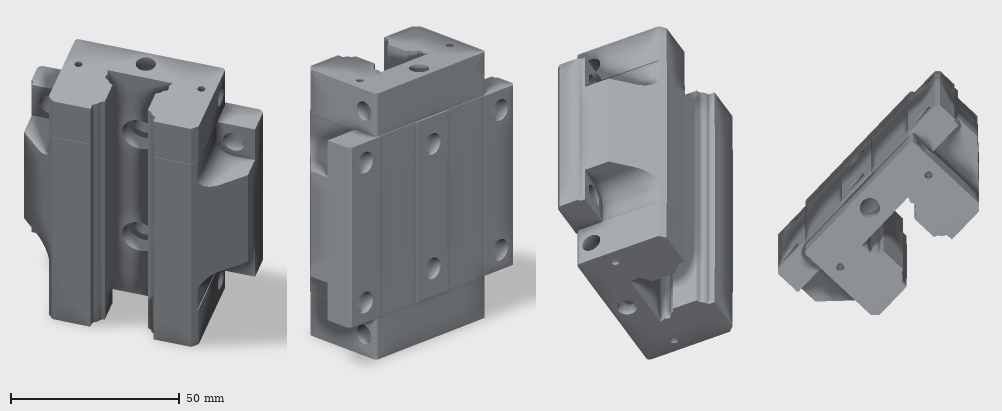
import cadquery as cq
import math

length = 85.6
carriage_length = 57.9
half_length = length / 2
carriage_end = carriage_length / 2
cap_length = half_length - carriage_end

height = 29.9
half_width = 35.0
foot_half_width = 21.5
edge_step = 0.7
reference_edge_y = 22.85
top_chamfer = 1.0

relief_depth = 0.3
relief_inner_x = 6.3
relief_outer_x = 22.25

cap_half_width = 23.3
cap_bottom = 0.1
cap_top = 29.3
cap_corner_radius = 1.0

lip_half_width = 9.8
land_half_width = 6.7
track_inner_x = 7.9
track_mid_x = 8.65
track_middle_y = 8.5
land_half_height = 3.9
track_inner_half_height = 4.5
track_mid_half_height = 5.65
track_outer_half_height = 6.3
ridge_half_width = 9.4
ridge_base_y = 16.1
ridge_y = 16.5
floor_half_width = 10.1
floor_y = 18.3

pocket_inner_x = 23.0
pocket_inner_z = 16.95
pocket_radius = 5.5
ear_bottom = 20.7

bolt_diameter = 6.8
corner_bolt_x = 28.5
corner_bolt_z = 22.5
center_bolt_z = 20.0
counterbore_diameter = 11.0
counterbore_depth = 5.1
lube_diameter = 6.0
lube_y = 24.3
cross_hole_z = 35.95
pin_hole_diameter = 2.4
pin_hole_depth = 4.3
pin_hole_x = 19.1
pin_hole_y = 18.4
drill_point_angle = 118.0


def carriage():
    """Carriage block with flanks sloping at 45 degrees and a stepped -X edge."""
    left_x = -(half_width - edge_step)
    slope_height_left = -left_x - foot_half_width
    slope_height_right = half_width - foot_half_width
    outline = [
        (-foot_half_width, 0),
        (foot_half_width, 0),
        (half_width, slope_height_right),
        (half_width, height - top_chamfer),
        (half_width - top_chamfer, height),
        (top_chamfer - half_width, height),
        (-half_width, height - top_chamfer),
        (-half_width, reference_edge_y),
        (left_x, reference_edge_y - edge_step),
        (left_x, slope_height_left),
    ]
    block = cq.Workplane("XY").workplane(offset=-carriage_end).polyline(outline).close()
    return block.extrude(carriage_length)


def end_cap(side):
    """End cap on the +Z (side = 1) or -Z (side = -1) end of the carriage."""
    foot_chamfer = cap_half_width - foot_half_width
    cap = (
        cq.Workplane("XY")
        .box(2 * cap_half_width, cap_top - cap_bottom, cap_length)
        .edges("|Z and >Y").fillet(cap_corner_radius)
        .edges("|Z and <Y").chamfer(foot_chamfer)
    )
    center_z = side * (carriage_end + cap_length / 2)
    return cap.translate((0, (cap_top + cap_bottom) / 2, center_z))


def rail_channel():
    """Channel for the rail, with two ball tracks on each side, along the full length."""
    middle = track_middle_y
    lower_track_middle = (track_mid_x, middle - track_mid_half_height)
    lower_track_end = (track_inner_x, middle - track_inner_half_height)
    upper_track_middle = (track_mid_x, middle + track_mid_half_height)
    upper_track_end = (lip_half_width, middle + track_outer_half_height)
    half = (
        cq.Workplane("XY")
        .workplane(offset=-half_length)
        .moveTo(0, 0)
        .lineTo(lip_half_width, 0)
        .lineTo(lip_half_width, middle - track_outer_half_height)
        .threePointArc(lower_track_middle, lower_track_end)
        .lineTo(land_half_width, middle - land_half_height)
        .lineTo(land_half_width, middle + land_half_height)
        .lineTo(track_inner_x, middle + track_inner_half_height)
        .threePointArc(upper_track_middle, upper_track_end)
        .lineTo(lip_half_width, ridge_base_y)
        .lineTo(ridge_half_width, ridge_y)
        .lineTo(floor_half_width, floor_y)
        .lineTo(0, floor_y)
        .close()
        .extrude(length)
    )
    return half.union(half.mirror("YZ"))


def relief_strip(side):
    """Shallow recess along the +Y face of the carriage, between two pads."""
    return (
        cq.Workplane("XY")
        .box(relief_outer_x - relief_inner_x, relief_depth, carriage_length)
        .translate((side * (relief_outer_x + relief_inner_x) / 2, height - relief_depth / 2, 0))
    )


def corner_pocket(side_x, side_z):
    """Pocket below a mounting ear, rounded at its inner corner."""
    size_x = half_width - pocket_inner_x
    size_z = carriage_end - pocket_inner_z
    inner_x = "<X" if side_x > 0 else ">X"
    inner_z = "<Z" if side_z > 0 else ">Z"
    inner_edge = f"|Y and {inner_x} and {inner_z}"
    pocket = cq.Workplane("XY").box(size_x, ear_bottom, size_z).edges(inner_edge).fillet(pocket_radius)
    center_x = side_x * (pocket_inner_x + size_x / 2)
    center_z = side_z * (pocket_inner_z + size_z / 2)
    return pocket.translate((center_x, ear_bottom / 2, center_z))


def hole_along_y(x, z, diameter, start, depth):
    """Cylinder from y = start toward +Y."""
    base = cq.Vector(x, start, z)
    return cq.Workplane(cq.Solid.makeCylinder(diameter / 2, depth, base, cq.Vector(0, 1, 0)))


def lube_holes(side):
    """Cross hole through an end cap and the hole from the end face that meets its axis."""
    cross = cq.Solid.makeCylinder(
        lube_diameter / 2,
        2 * half_width,
        cq.Vector(-half_width, lube_y, side * cross_hole_z),
        cq.Vector(1, 0, 0),
    )
    axial = cq.Solid.makeCylinder(
        lube_diameter / 2,
        half_length - cross_hole_z,
        cq.Vector(0, lube_y, side * half_length),
        cq.Vector(0, 0, -side),
    )
    return cq.Workplane(cross).union(cq.Workplane(axial))


def pin_hole(side_x, side_z):
    """Blind hole with a drill point in the end face of a cap."""
    radius = pin_hole_diameter / 2
    point_depth = radius / math.tan(math.radians(drill_point_angle / 2))
    inward = cq.Vector(0, 0, -side_z)
    mouth = cq.Vector(side_x * pin_hole_x, pin_hole_y, side_z * half_length)
    bore = cq.Solid.makeCylinder(radius, pin_hole_depth, mouth, inward)
    point = cq.Solid.makeCone(radius, 0, point_depth, mouth + inward * pin_hole_depth, inward)
    return cq.Workplane(bore).union(cq.Workplane(point))


sides = (-1, 1)

body = carriage()
for side_x in sides:
    body = body.cut(relief_strip(side_x))
    for side_z in sides:
        body = body.cut(corner_pocket(side_x, side_z))
for side_z in sides:
    body = body.union(end_cap(side_z))
body = body.cut(rail_channel())

for side_z in sides:
    bolt_z = side_z * center_bolt_z
    body = body.cut(hole_along_y(0, bolt_z, bolt_diameter, 0, height))
    body = body.cut(hole_along_y(0, bolt_z, counterbore_diameter, floor_y, counterbore_depth))
    body = body.cut(lube_holes(side_z))
    for side_x in sides:
        corner_x = side_x * corner_bolt_x
        corner_z = side_z * corner_bolt_z
        body = body.cut(hole_along_y(corner_x, corner_z, bolt_diameter, 0, height))
        body = body.cut(pin_hole(side_x, side_z))

result = body